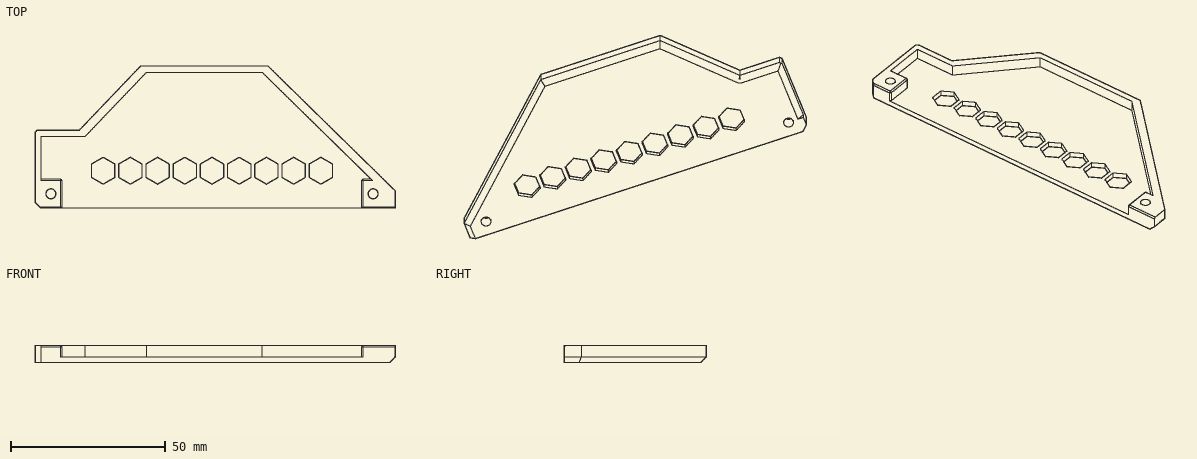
import cadquery as cq
import math

length = 117.0
depth = 46.2
height = 5.6
floor_thickness = 1.9

shoulder_x = 14.4
shoulder_y = 25.4
crest_left_x = 34.3
crest_right_x = 75.6
tip_y = 5.6
front_corner_cut = 1.9
back_corner_cut = 0.7

rim_x = 1.9
rim_y = 2.1

bevel = floor_thickness
left_bevel_start_y = 4.8

pad_depth = 9.5
left_pad_end_x = 8.8
right_pad_start_x = 106.0
pad_edge_cut = 0.5
screw_y = 4.7
left_screw_x = 5.1
right_screw_x = 109.7
screw_diameter = 3.2

hex_count = 9
hex_first_x = 22.1
hex_last_x = 92.8
hex_pitch = (hex_last_x - hex_first_x) / (hex_count - 1)
hex_y = 12.2
hex_width = 7.5
hex_sides = 6


def prism(points, bottom, thickness, taper=0):
    """Extrude a closed outline from a given height."""
    return cq.Workplane("XY", origin=(0, 0, bottom)).polyline(points).close().extrude(thickness, taper=taper)


def box(start_x, end_x, start_y, end_y, bottom, top):
    """Make a block between two corners."""
    size = (end_x - start_x, end_y - start_y, top - bottom)
    return cq.Workplane("XY", origin=(start_x, start_y, bottom)).box(*size, centered=False)


def make_outline(front_y):
    """Return the sharp-cornered outline, with its straight front at front_y."""
    return [
        (0, front_y),
        (length, front_y),
        (length, tip_y),
        (crest_right_x, depth),
        (crest_left_x, depth),
        (shoulder_x, shoulder_y),
        (0, shoulder_y),
    ]


def make_body():
    """Make the solid plate, bevelled underneath on all sides but the front and the left front corner."""
    upper = prism(make_outline(0), floor_thickness, height - floor_thickness)
    lower = prism(make_outline(-bevel), floor_thickness, -floor_thickness, taper=45)
    lower = lower.intersect(box(0, length, 0, depth, 0, floor_thickness))
    front_corner = box(0, bevel + front_corner_cut, 0, left_bevel_start_y, 0, floor_thickness)
    body = upper.union(lower).union(front_corner)
    front_cut = prism([(0, 0), (front_corner_cut, 0), (0, front_corner_cut)], 0, height)
    back_cut = prism(
        [(0, shoulder_y), (back_corner_cut, shoulder_y), (0, shoulder_y - back_corner_cut)], 0, height
    )
    return body.cut(front_cut).cut(back_cut)


def make_recess():
    """Make the space inside the rim, open at the front and at the tip."""
    points = [
        (rim_x, 0),
        (length, 0),
        (length, tip_y - rim_y),
        (length - rim_x, tip_y - rim_y),
        (crest_right_x - rim_x, depth - rim_y),
        (crest_left_x + rim_x, depth - rim_y),
        (shoulder_x + rim_x, shoulder_y - rim_y),
        (rim_x, shoulder_y - rim_y),
    ]
    return prism(points, floor_thickness, height - floor_thickness)


def make_pads():
    """Make the screw pads, with small cuts on all edges but those at the tray ends and floor."""
    left = box(0, left_pad_end_x, 0, pad_depth, floor_thickness, height)
    left = left.edges("(>Z and (not <X)) or (|Z and >X)").chamfer(pad_edge_cut)
    right = box(right_pad_start_x, length, 0, pad_depth, floor_thickness, height)
    right = right.edges("(>Z and (not >X)) or (|Z and <X)").chamfer(pad_edge_cut)
    return left.union(right)


def make_screw_holes():
    """Make the through holes in the two pads."""
    centers = [(left_screw_x, screw_y), (right_screw_x, screw_y)]
    return cq.Workplane("XY").pushPoints(centers).circle(screw_diameter / 2).extrude(height)


def make_hex_openings():
    """Make the row of hexagonal through openings."""
    corner_radius = hex_width / math.sqrt(3)
    openings = cq.Workplane("XY")
    for index in range(hex_count):
        center_x = hex_first_x + index * hex_pitch
        points = []
        for corner in range(hex_sides):
            angle = math.tau * (corner + 0.5) / hex_sides
            points.append(
                (center_x + corner_radius * math.cos(angle), hex_y + corner_radius * math.sin(angle))
            )
        openings = openings.polyline(points).close()
    return openings.extrude(height)


body = make_body()
tray = body.cut(make_recess()).union(make_pads().intersect(body))
result = tray.cut(make_screw_holes()).cut(make_hex_openings())